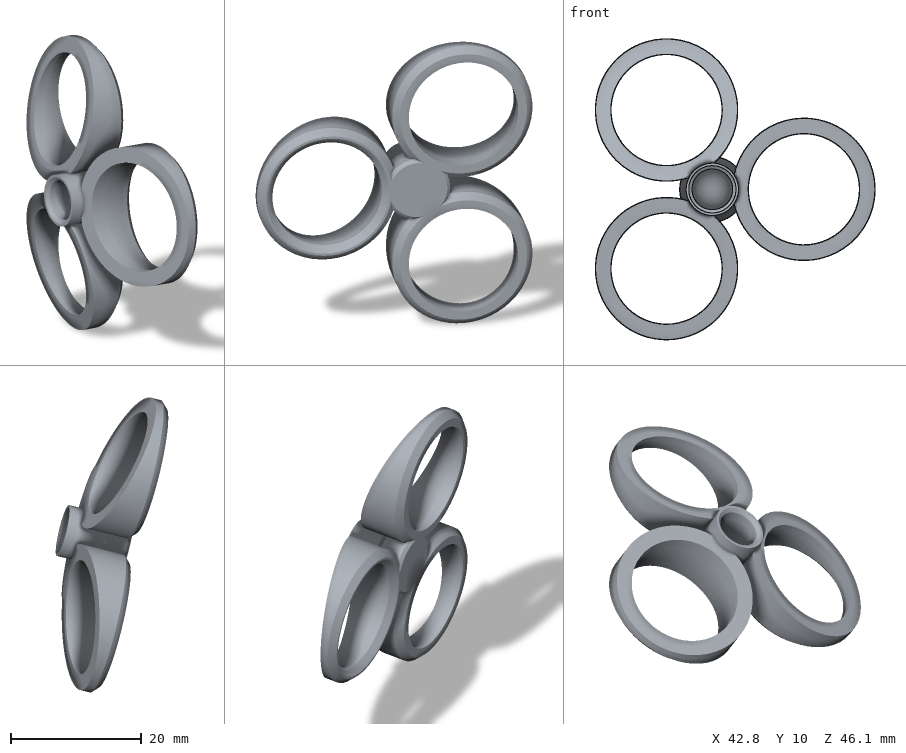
import cadquery as cq
import math

stem_diameter = 8.0
flange_diameter = 10.0
hub_length = 10.0
flange_thickness = 4.0
bore_diameter = 6.2
hub_edge_chamfer = 0.5

ring_count = 3
overall_height = 46.05
ring_outer_diameter = 21.8
ring_bore_diameter = 17.0
ring_height = 7.95
ring_back_chamfer = 1.0
slope_angle = 15
slope_start_radius = 3.6

stem_radius = stem_diameter / 2
flange_radius = flange_diameter / 2
ring_outer_radius = ring_outer_diameter / 2
ring_bore_radius = ring_bore_diameter / 2
ring_angle_step = 360 / ring_count
ring_pitch_radius = (overall_height - ring_outer_diameter) / (2 * math.sin(math.radians(ring_angle_step)))



def make_hub_blank():
    """Solid outside shape of the hub, turned about the Y axis."""
    cone_height = flange_radius - stem_radius
    return (
        cq.Workplane("XY")
        .lineTo(flange_radius - hub_edge_chamfer, 0)
        .lineTo(flange_radius, -hub_edge_chamfer)
        .lineTo(flange_radius, -flange_thickness)
        .lineTo(stem_radius, -flange_thickness - cone_height)
        .lineTo(stem_radius, -hub_length)
        .lineTo(0, -hub_length)
        .close()
        .revolve(360, (0, 0, 0), (0, 1, 0))
    )


def make_hub_bore():
    """Blind bore with a chamfered mouth, ending level with the front of the flange."""
    bore_radius = bore_diameter / 2
    return (
        cq.Workplane("XY")
        .moveTo(0, -flange_thickness)
        .lineTo(bore_radius, -flange_thickness)
        .lineTo(bore_radius, -hub_length + hub_edge_chamfer)
        .lineTo(bore_radius + hub_edge_chamfer, -hub_length)
        .lineTo(0, -hub_length)
        .close()
        .revolve(360, (0, 0, 0), (0, 1, 0))
    )


def make_slope_cutter():
    """Wedge that slopes the front of the ring down toward its outer end."""
    outer_end = ring_pitch_radius + ring_outer_radius
    drop = (outer_end - slope_start_radius) * math.tan(math.radians(slope_angle))
    return (
        cq.Workplane("XY")
        .moveTo(slope_start_radius, -ring_height)
        .lineTo(outer_end, -ring_height)
        .lineTo(outer_end, -ring_height + drop)
        .close()
        .extrude(ring_outer_radius, both=True)
    )


def make_ring(angle, has_bore_chamfer):
    """Ring notched to fit round the hub, with an optional chamfer at the back of its bore."""
    ring_plane = cq.Workplane("XZ").center(ring_pitch_radius, 0)
    ring_bore = ring_plane.circle(ring_bore_radius).extrude(ring_height)
    ring = ring_plane.circle(ring_outer_radius).extrude(ring_height)
    ring = ring.faces(">Y").chamfer(ring_back_chamfer)
    ring = ring.cut(ring_bore).cut(make_slope_cutter())
    if has_bore_chamfer:
        bore_edge = cq.selectors.RadiusNthSelector(0)
        ring = ring.faces(">Y").edges(bore_edge).chamfer(ring_back_chamfer)
    return ring.rotate((0, 0, 0), (0, 1, 0), angle).cut(make_hub_blank())


hub = make_hub_blank().cut(make_hub_bore())
rings = [make_ring(index * ring_angle_step, index == 0) for index in range(ring_count)]

result = cq.Compound.makeCompound([hub.val(), *[ring.val() for ring in rings]])